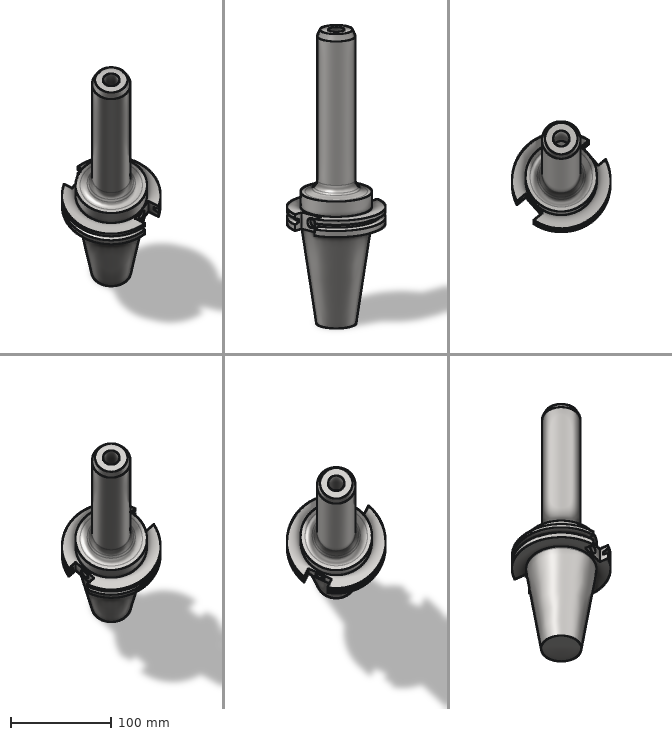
import cadquery as cq
import math

total_length = 304.8
taper_length = 101.5
flange_bottom = 103.5
flange_top = 120.7
collar_top = 136.5
nose_chamfer_height = 6.7

taper_tip_radius = 20.0
taper_gauge_radius = 35.0
flange_diameter = 98.5
flange_radius = flange_diameter / 2
collar_radius = 35.7
shank_radius = 19.2
nose_radius = 16.2

groove_radius = 43.5
groove_floor_bottom = 112.0
groove_floor_top = 114.3
groove_mouth_bottom = 110.0
groove_mouth_top = 116.5

neck_blend_radius = 10.0
neck_foot_radius = 31.0
neck_angle = math.radians(45)
arc_long_leg = neck_blend_radius * math.sin(neck_angle)
arc_short_leg = neck_blend_radius * (1 - math.cos(neck_angle))
cone_bottom_radius = neck_foot_radius - arc_long_leg
cone_bottom_height = collar_top + arc_short_leg
cone_top_radius = shank_radius + arc_short_leg
cone_top_height = cone_bottom_height + cone_bottom_radius - cone_top_radius

slot_width = 25.5
left_slot_floor = 37.8
right_slot_floor = 35.7
pin_hole_diameter = 10.0
pin_hole_depth = 4.5

bore_diameter = 16.2
bore_depth = 45.7


def make_turned_body():
    """Revolve the half profile around the Z axis."""
    profile = (
        cq.Workplane("XZ")
        .moveTo(0, 0)
        .lineTo(taper_tip_radius, 0)
        .lineTo(taper_gauge_radius, taper_length)
        .lineTo(taper_gauge_radius, flange_bottom)
        .lineTo(flange_radius, flange_bottom)
        .lineTo(flange_radius, groove_mouth_bottom)
        .lineTo(groove_radius, groove_floor_bottom)
        .lineTo(groove_radius, groove_floor_top)
        .lineTo(flange_radius, groove_mouth_top)
        .lineTo(flange_radius, flange_top)
        .lineTo(collar_radius, flange_top)
        .lineTo(collar_radius, collar_top)
        .lineTo(neck_foot_radius, collar_top)
        .tangentArcPoint((cone_bottom_radius, cone_bottom_height), relative=False)
        .lineTo(cone_top_radius, cone_top_height)
        .tangentArcPoint((shank_radius, cone_top_height + arc_long_leg), relative=False)
        .lineTo(shank_radius, total_length - nose_chamfer_height)
        .lineTo(nose_radius, total_length)
        .lineTo(0, total_length)
        .close()
    )
    return profile.revolve(360, (0, 0, 0), (0, 1, 0))


def make_drive_slot(side, slot_floor_distance):
    """Slot through the flange height at +X (side=1) or -X (side=-1), with its pin hole."""
    flange_height = flange_top - flange_bottom
    flange_middle = (flange_top + flange_bottom) / 2
    slot_depth = flange_radius - slot_floor_distance
    slot = cq.Workplane("XY").box(slot_depth, slot_width, flange_height).translate(
        (side * (slot_floor_distance + slot_depth / 2), 0, flange_middle)
    )
    pin_hole = (
        cq.Workplane("YZ", origin=(side * slot_floor_distance, 0, flange_middle))
        .circle(pin_hole_diameter / 2)
        .extrude(-side * pin_hole_depth)
    )
    return slot.union(pin_hole)


body = make_turned_body()
for side, floor_distance in ((-1, left_slot_floor), (1, right_slot_floor)):
    body = body.cut(make_drive_slot(side, floor_distance))

bore = (
    cq.Workplane("XY", origin=(0, 0, total_length - bore_depth))
    .circle(bore_diameter / 2)
    .extrude(bore_depth)
)
result = body.cut(bore)